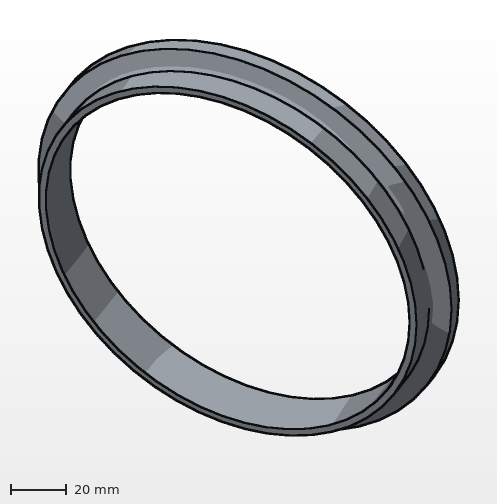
import cadquery as cq
import math

outer_radius = 83.5
tube_radius = 76.3
bore_radius = 73.5
ring_length = 19.0
rim_width = 5.7
cone_angle = 20.0
root_radius = 1.5

back_y = ring_length / 2
front_y = -ring_length / 2
rim_front_y = back_y - rim_width
cone_drop = (outer_radius - tube_radius) * math.tan(math.radians(cone_angle))
cone_root_y = rim_front_y - cone_drop

section = (
    cq.Workplane("XY")
    .moveTo(bore_radius, back_y)
    .lineTo(outer_radius, back_y)
    .lineTo(outer_radius, rim_front_y)
    .lineTo(tube_radius, cone_root_y)
    .lineTo(tube_radius, front_y)
    .lineTo(bore_radius, front_y)
    .close()
)
ring = section.revolve(360, (0, 0, 0), (0, 1, 0))

root_edge = ring.edges("%CIRCLE").edges(cq.selectors.NearestToPointSelector((0, cone_root_y, 0)))
result = root_edge.fillet(root_radius)